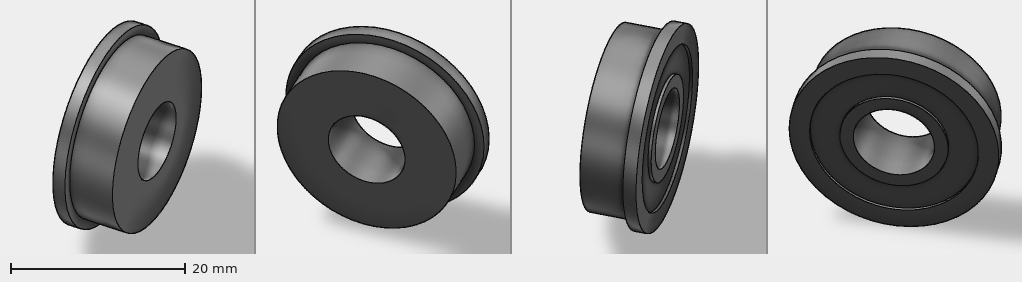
import cadquery as cq

width = 7.11
flange_diameter = 24.61
flange_width = 1.575
body_diameter = 22.225
bore_diameter = 9.525

recess_outer_diameter = 19.8
recess_inner_diameter = 12.7
recess_depth = 0.38


def cylinder(diameter, length):
    """Solid cylinder running along +X from the flange face."""
    return cq.Workplane("YZ").circle(diameter / 2).extrude(length)


def flanged_body():
    """Outer cylinder with the wider flange at its X = 0 end."""
    return cylinder(body_diameter, width).union(cylinder(flange_diameter, flange_width))


def face_recess():
    """Annular volume removed from the flange face, leaving the rim and hub proud."""
    return cylinder(recess_outer_diameter, recess_depth).cut(cylinder(recess_inner_diameter, recess_depth))


bore = cylinder(bore_diameter, width)
result = flanged_body().cut(bore).cut(face_recess())